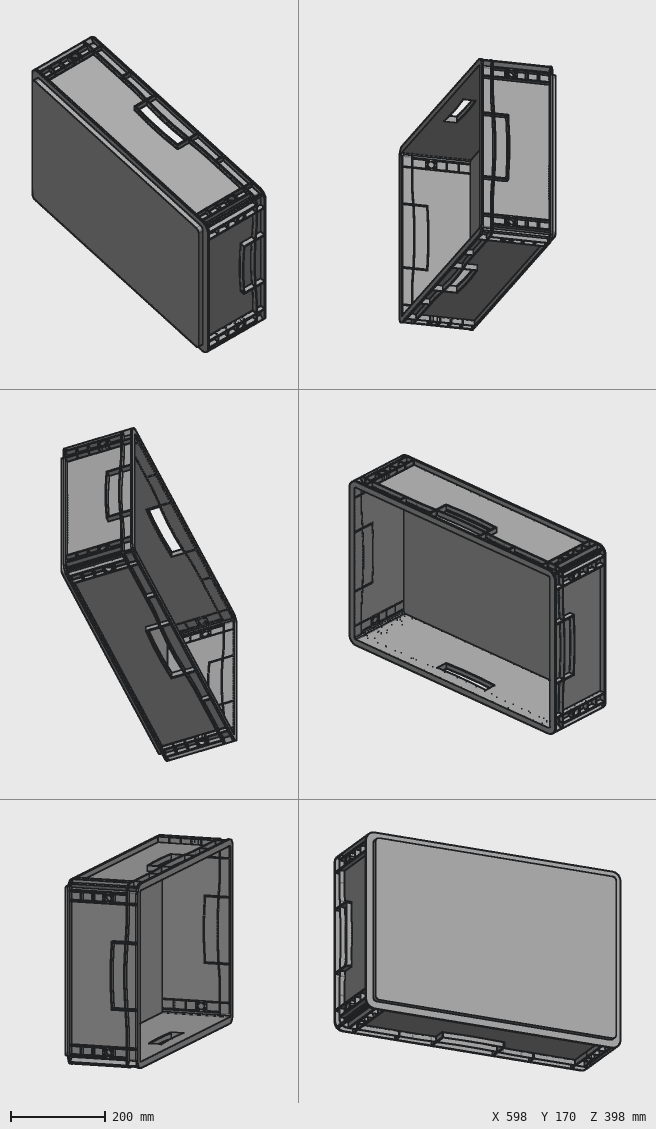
import cadquery as cq
import math

LENGTH = 598.0
WIDTH = 398.0
HEIGHT = 170.0

CORNER_R = 20.0
WALL_INSET = 12.0
WALL = 2.5
CAVITY_INSET = WALL_INSET + WALL
FLANGE = 4.0
FOOT_HEIGHT = 12.0
FOOT_INSET = 16.0
FOOT_R = 9.0
FLOOR_TOP = FOOT_HEIGHT + FLANGE
RIM_BOTTOM = HEIGHT - FLANGE

RIB = 2.5
POST = 3.0
DIAGONAL_RIB = 4.0
RIM_RIB_Y = 143.5
OUTER_POST = 20.5
INNER_POST = 42.0
CROSS_RIB_YS = (40.0, 66.5, 90.0, 112.5)
RIM_DIVIDER_X = 158.0

BOSS_Y = (CROSS_RIB_YS[2] + CROSS_RIB_YS[3] + RIB) / 2
BOSS_R = 10.0
BOSS_BORE_R = 7.0

GRIP = 147.0
GRIP_BAR_Y = 110.0
BOW_END = 85.0
BOW_DEPTH = 3.5
DIP_START = 127.5
DIP_DEPTH = BOW_DEPTH * (DIP_START - BOW_END) / BOW_END
GRIP_BOW = BOW_DEPTH * (GRIP / 2 / BOW_END) ** 2


def slab(length, width, radius, bottom, top):
    """Rounded rectangular block standing along Y, centred on X and Z."""
    block = cq.Workplane("XY").box(length, top - bottom, width)
    return block.edges("|Y").fillet(radius).translate((0, (bottom + top) / 2, 0))


def inset_slab(inset, radius, bottom, top):
    return slab(LENGTH - 2 * inset, WIDTH - 2 * inset, radius, bottom, top)


def bar(x0, x1, y0, y1):
    """Rib of the full rib depth, lying on a wall that faces +Z."""
    return cq.Workplane("XY").box(x1 - x0, y1 - y0, CAVITY_INSET, centered=False).translate((x0, y0, 0))


def below_rim_curve(span, top, depth=CAVITY_INSET):
    """Area under a line that dips toward the middle of a wall and bows down across it."""
    end = span / 2 - CORNER_R
    dip_middle = (DIP_START + BOW_END) / 2
    dip_middle_y = top - DIP_DEPTH / 4
    bow_y = top - DIP_DEPTH
    return (
        cq.Workplane("XY")
        .moveTo(-end, FLOOR_TOP)
        .lineTo(-end, top)
        .lineTo(-DIP_START, top)
        .threePointArc((-dip_middle, dip_middle_y), (-BOW_END, bow_y))
        .threePointArc((0, bow_y - BOW_DEPTH), (BOW_END, bow_y))
        .threePointArc((dip_middle, dip_middle_y), (DIP_START, top))
        .lineTo(end, top)
        .lineTo(end, FLOOR_TOP)
        .close()
        .extrude(depth)
    )


def rim_rib(span):
    """Rib below the rim, following the dip and bow above the handle."""
    return below_rim_curve(span, RIM_RIB_Y + RIB).cut(below_rim_curve(span, RIM_RIB_Y))


def grip_area(half, bottom, top, depth):
    """Area with a lower side bowed down like the rim rib and an upper side bowed alike."""
    return (
        cq.Workplane("XY")
        .moveTo(-half, bottom)
        .threePointArc((0, bottom - GRIP_BOW), (half, bottom))
        .lineTo(half, top)
        .threePointArc((0, top - GRIP_BOW), (-half, top))
        .close()
        .extrude(depth)
    )


def grip_frame():
    """Bar below the handle and the two posts beside it."""
    half = GRIP / 2
    frame = grip_area(half, GRIP_BAR_Y, GRIP_BAR_Y + RIB, CAVITY_INSET)
    for x in (-half, half - POST):
        frame = frame.union(bar(x, x + POST, GRIP_BAR_Y, RIM_BOTTOM))
    return frame


def corner_cells(span):
    """Ladder of cells with one bored boss at the left end of a wall."""
    outer = -span / 2 + OUTER_POST
    inner = -span / 2 + INNER_POST
    boss_x = (outer + POST + inner) / 2
    cell = bar(outer, inner + RIB, BOSS_Y - BOSS_R, BOSS_Y + BOSS_R)
    boss = cq.Workplane("XY").center(boss_x, BOSS_Y).circle(BOSS_R).circle(BOSS_BORE_R).extrude(CAVITY_INSET)

    ladder = bar(outer, outer + POST, FLOOR_TOP, RIM_RIB_Y)
    ladder = ladder.union(bar(inner, inner + RIB, FLOOR_TOP, RIM_BOTTOM))
    for y in CROSS_RIB_YS:
        ladder = ladder.union(bar(outer, inner, y, y + RIB))
    return ladder.union(boss.intersect(cell))


def wall_ribs(span, divider_xs):
    """All ribs of one wall, modelled on a wall that faces +Z."""
    cells = corner_cells(span)
    ribs = rim_rib(span).union(grip_frame()).union(cells).union(cells.mirror("YZ"))
    for x in divider_xs:
        ribs = ribs.union(bar(x - POST / 2, x + POST / 2, RIM_RIB_Y, RIM_BOTTOM))
    return ribs


def place_on_walls(ribs, half_distance, angles):
    """Set a rib pattern flush with two opposite outer sides."""
    outward = ribs.translate((0, 0, half_distance - CAVITY_INSET))
    first, second = [outward.rotate((0, 0, 0), (0, 1, 0), angle) for angle in angles]
    return first.union(second)


def corner_ribs():
    """Diagonal rib and rim rib around each upright corner."""
    diagonal = (
        cq.Workplane("XY")
        .box(CORNER_R, RIM_BOTTOM - FLOOR_TOP, DIAGONAL_RIB, centered=(False, False, True))
        .translate((0, FLOOR_TOP, 0))
    )
    collar = cq.Workplane("XZ").circle(CORNER_R).extrude(-RIB).translate((0, RIM_RIB_Y, 0))
    ribs = cq.Workplane("XY")
    for side_x in (-1, 1):
        for side_z in (-1, 1):
            angle = math.degrees(math.atan2(-side_z, side_x))
            corner = diagonal.rotate((0, 0, 0), (0, 1, 0), angle).union(collar)
            x = side_x * (LENGTH / 2 - CORNER_R)
            z = side_z * (WIDTH / 2 - CORNER_R)
            ribs = ribs.union(corner.translate((x, 0, z)))
    return ribs


shell = (
    inset_slab(FOOT_INSET, FOOT_R, 0, FLOOR_TOP)
    .union(inset_slab(0, CORNER_R, FOOT_HEIGHT, FLOOR_TOP))
    .union(inset_slab(WALL_INSET, CORNER_R - WALL_INSET, FOOT_HEIGHT, HEIGHT))
    .union(inset_slab(0, CORNER_R, RIM_BOTTOM, HEIGHT))
)

long_ribs = wall_ribs(LENGTH, (-RIM_DIVIDER_X, RIM_DIVIDER_X))
end_ribs = wall_ribs(WIDTH, ())
body = (
    shell.union(place_on_walls(long_ribs, WIDTH / 2, (0, 180)))
    .union(place_on_walls(end_ribs, LENGTH / 2, (90, -90)))
    .union(corner_ribs())
)

cavity = inset_slab(CAVITY_INSET, CORNER_R - CAVITY_INSET, FLOOR_TOP, HEIGHT)

opening = (
    grip_area(GRIP / 2 - POST, GRIP_BAR_Y + RIB, RIM_BOTTOM, WIDTH)
    .intersect(below_rim_curve(LENGTH, RIM_RIB_Y, WIDTH))
    .translate((0, 0, -WIDTH / 2))
)

result = body.cut(cavity).cut(opening)